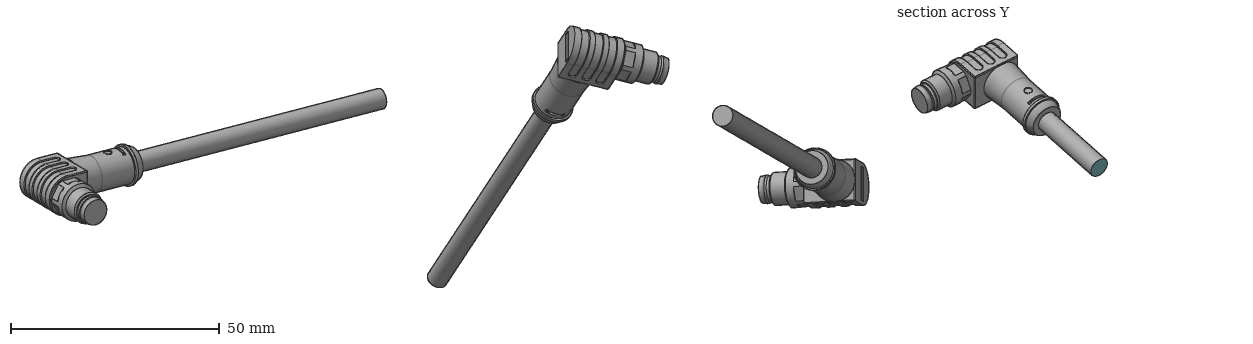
import cadquery as cq
import math

total_length_x = 25.2
total_length_y = 100.3
body_height = 10.3
body_radius = body_height / 2
cable_end_y = total_length_y - body_radius

flange_diameter = 10.3
cable_x = flange_diameter / 2

body_length_x = 13.1
body_back_y = 5.85
edge_chamfer = 0.25
groove_floor_width = 1.9
groove_top_width = 2.2
groove_depth = 0.3
groove_pitch = 3.55
groove_count = 3
first_groove_x = 2.9
groove_tip_y = 4.4
panel_width = 1.6
panel_height = 8.2
panel_depth = 0.1

gap_diameter = 6.9
gap_width = 0.3
collar_diameter = 9.6
hex_side_count = 6
hex_across_flats = 8.85
hex_end_x = 15.9
collar_end_x = 18.4
collar_chamfer = 0.5
barrel_diameter = 8.0
barrel_end_x = 22.4
barrel_chamfer = 0.4
nose_diameter = 6.5
ring_diameter = 6.9
ring_start_x = 23.2
ring_lead_length = 0.5
ring_taper_length = 1.2

cable_diameter = 5.1
outlet_root_diameter = 10.3
outlet_diameter = 9.3
taper_end_y = 12.1
flange_start_y = 21.4
flange_rim_end_y = 22.15
flange_end_y = 24.15
flange_shoulder_diameter = 9.6
flange_tip_diameter = 8.2
flange_dome_rise = 0.15
slit_start_y = 19.7
slit_end_y = 20.35
slit_floor_z = 3.95
dimple_diameter = 2.0
dimple_y = 16.7
dimple_depth = 0.3


def make_body():
    """Block with a half-round front, rounded about the plug axis."""
    block = (
        cq.Workplane("YZ")
        .moveTo(body_back_y, -body_radius)
        .lineTo(0, -body_radius)
        .threePointArc((-body_radius, 0), (0, body_radius))
        .lineTo(body_back_y, body_radius)
        .close()
        .extrude(body_length_x)
    )
    return block.faces(">X or >Y").chamfer(edge_chamfer)


def make_groove():
    """Make a groove cutter centred on X = 0: a half ring with straight, round-tipped legs."""
    floor_radius = body_radius - groove_depth
    floor_half_width = groove_floor_width / 2
    top_half_width = groove_top_width / 2
    ring = (
        cq.Workplane("XY")
        .polyline([
            (-floor_half_width, -floor_radius),
            (floor_half_width, -floor_radius),
            (top_half_width, -body_radius),
            (-top_half_width, -body_radius),
        ])
        .close()
        .revolve(180, (0, 0, 0), (1, 0, 0))
        .rotate((0, 0, 0), (1, 0, 0), -90)
    )
    leg_shoulder_y = groove_tip_y - top_half_width
    flank_angle = math.degrees(math.atan2(top_half_width - floor_half_width, groove_depth))
    leg = (
        cq.Workplane("XY", origin=(0, 0, floor_radius))
        .moveTo(-floor_half_width, 0)
        .lineTo(floor_half_width, 0)
        .lineTo(floor_half_width, leg_shoulder_y)
        .threePointArc((0, leg_shoulder_y + floor_half_width), (-floor_half_width, leg_shoulder_y))
        .close()
        .extrude(groove_depth, taper=-flank_angle)
    )
    return ring.union(leg).union(leg.mirror("XY"))


def cut_grip_grooves(body):
    """Cut the row of grip grooves that wrap around the round front of the body."""
    groove = make_groove()
    for index in range(groove_count):
        body = body.cut(groove.translate((first_groove_x + index * groove_pitch, 0, 0)))
    return body


def cut_end_panel(body):
    """Cut the shallow rectangular panel in the flat end of the body."""
    panel = cq.Workplane("YZ").rect(panel_width, panel_height).extrude(panel_depth)
    return body.cut(panel)


def make_plug():
    """Revolve the plug about X and cut the hexagon flats beside the body."""
    collar_start_x = body_length_x + gap_width
    profile = [
        (body_length_x, 0),
        (body_length_x, gap_diameter / 2),
        (collar_start_x, gap_diameter / 2),
        (collar_start_x, collar_diameter / 2),
        (collar_end_x - collar_chamfer, collar_diameter / 2),
        (collar_end_x, barrel_diameter / 2),
        (barrel_end_x - barrel_chamfer, barrel_diameter / 2),
        (barrel_end_x, barrel_diameter / 2 - barrel_chamfer),
        (barrel_end_x, nose_diameter / 2),
        (ring_start_x, nose_diameter / 2),
        (ring_start_x + ring_lead_length, ring_diameter / 2),
        (total_length_x - ring_taper_length, ring_diameter / 2),
        (total_length_x, nose_diameter / 2),
        (total_length_x, 0),
    ]
    plug = cq.Workplane("XY").polyline(profile).close().revolve(360, (0, 0, 0), (1, 0, 0))
    hex_corner_diameter = hex_across_flats / math.cos(math.pi / hex_side_count)
    around_hex = (
        cq.Workplane("YZ", origin=(collar_start_x, 0, 0))
        .circle(collar_diameter)
        .polygon(hex_side_count, hex_corner_diameter)
        .extrude(hex_end_x - collar_start_x)
    )
    return plug.cut(around_hex)


def make_outlet():
    """Revolve the cable outlet, its flange and the cable about the cable axis."""
    shoulder_radius = flange_shoulder_diameter / 2
    tip_radius = flange_tip_diameter / 2
    cable_radius = cable_diameter / 2
    outlet = (
        cq.Workplane("XY")
        .moveTo(0, body_back_y)
        .lineTo(outlet_root_diameter / 2, body_back_y)
        .lineTo(outlet_diameter / 2, taper_end_y)
        .lineTo(outlet_diameter / 2, flange_start_y)
        .lineTo(flange_diameter / 2, flange_start_y)
        .lineTo(flange_diameter / 2, flange_rim_end_y)
        .lineTo(shoulder_radius, flange_rim_end_y)
        .sagittaArc((tip_radius, flange_end_y), -flange_dome_rise)
        .lineTo(cable_radius, flange_end_y)
        .lineTo(cable_radius, cable_end_y)
        .lineTo(0, cable_end_y)
        .close()
        .revolve(360, (0, 0, 0), (0, 1, 0))
    )
    return outlet.translate((cable_x, 0, 0))


def cut_slits(outlet):
    """Cut a flat-bottomed slit across the top and bottom of the outlet."""
    slit = cq.Workplane("XY", origin=(cable_x, (slit_start_y + slit_end_y) / 2, slit_floor_z))
    slit = slit.rect(flange_diameter, slit_end_y - slit_start_y).extrude(flange_diameter)
    return outlet.cut(slit).cut(slit.mirror("XY"))


def cut_dimple(outlet):
    """Cut the round dimple in the top of the outlet."""
    floor_z = outlet_diameter / 2 - dimple_depth
    dimple = cq.Workplane("XY", origin=(cable_x, dimple_y, floor_z))
    return outlet.cut(dimple.circle(dimple_diameter / 2).extrude(flange_diameter))


body = cut_end_panel(cut_grip_grooves(make_body()))
outlet = cut_dimple(cut_slits(make_outlet()))
result = body.union(make_plug()).union(outlet)